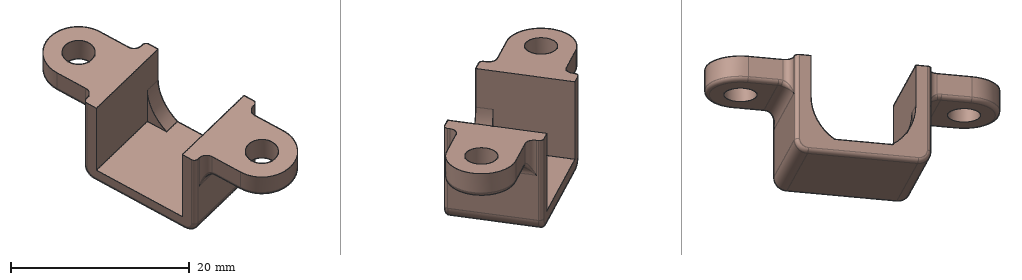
import cadquery as cq

length = 33.6
depth = 11.5
height = 11.8
wall = 1.8
channel_width = 12.0
bottom_corner_radius = 1.5
edge_radius = 0.5

tab_thickness = 3.0
tab_radius = 4.0
hole_diameter = 3.7
side_flare_radius = 1.0
under_flare_radius = 1.5

rib_thickness = 2.0
rib_arc_rise = 5.0

body_half_width = channel_width / 2 + wall
hole_x = length / 2 - tab_radius
tab_bottom = height - tab_thickness


def make_block():
    """Solid block with rounded lower corners and rounded outer edges."""
    block = cq.Workplane("XY").box(2 * body_half_width, depth, height, centered=(True, True, False))
    block = block.edges("|Y and <Z").fillet(bottom_corner_radius)
    return block.faces("<Y or >Y").edges("not >Z").fillet(edge_radius)


def make_channel():
    """Space inside the U, leaving a rib with a round cutout at the +Y end."""
    channel = (
        cq.Workplane("XY", origin=(0, 0, wall))
        .box(channel_width, depth, height, centered=(True, True, False))
    )
    rib = (
        cq.Workplane("XY", origin=(0, (depth - rib_thickness) / 2, wall))
        .box(channel_width, rib_thickness, rib_arc_rise, centered=(True, True, False))
    )
    rib_opening = (
        cq.Workplane("XZ", origin=(0, depth / 2, wall + rib_arc_rise))
        .circle(channel_width / 2)
        .extrude(rib_thickness)
    )
    return channel.cut(rib.cut(rib_opening))


def make_tab():
    """Right-hand tab, flared into the wall at its sides and underside."""
    side_flare_x = body_half_width + side_flare_radius
    side_flare_y = tab_radius + side_flare_radius
    plan = (
        cq.Workplane("XY")
        .moveTo(body_half_width, -side_flare_y)
        .radiusArc((side_flare_x, -tab_radius), side_flare_radius)
        .lineTo(hole_x, -tab_radius)
        .threePointArc((length / 2, 0), (hole_x, tab_radius))
        .lineTo(side_flare_x, tab_radius)
        .radiusArc((body_half_width, side_flare_y), side_flare_radius)
        .close()
        .extrude(height)
    )
    profile = (
        cq.Workplane("XZ")
        .moveTo(body_half_width, height)
        .lineTo(length / 2, height)
        .lineTo(length / 2, tab_bottom)
        .lineTo(body_half_width + under_flare_radius, tab_bottom)
        .radiusArc((body_half_width, tab_bottom - under_flare_radius), -under_flare_radius)
        .close()
        .extrude(depth / 2, both=True)
    )
    tab = plan.intersect(profile)
    rim = cq.selectors.BoxSelector(
        (body_half_width + under_flare_radius, -depth, tab_bottom - edge_radius),
        (length, depth, tab_bottom + edge_radius),
    )
    tab = tab.edges(rim).edges("not |Y").fillet(edge_radius)
    hole = cq.Workplane("XY").center(hole_x, 0).circle(hole_diameter / 2).extrude(height)
    return tab.cut(hole)


tab = make_tab()
result = make_block().union(tab).union(tab.mirror("YZ")).cut(make_channel())